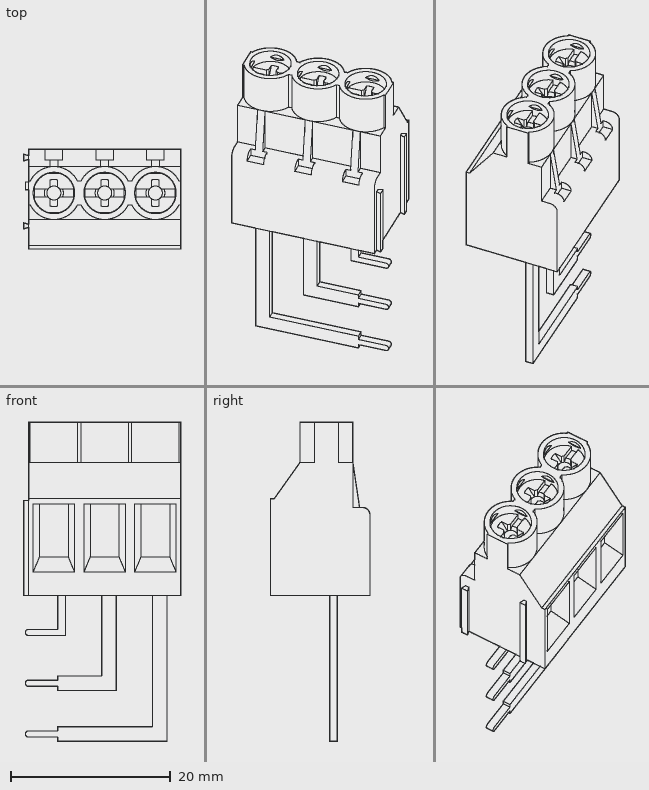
import cadquery as cq

POLES = 3
PITCH = 6.35
BODY_LENGTH = POLES * PITCH

BODY_DEPTH = 12.5
TOTAL_TOP = 21.7
COLLAR_BASE = 16.68
FRONT_EDGE_TOP = 12.13
FRONT_LIP = 0.48
REAR_SHELF_TOP = 11.05
REAR_SHELF_RADIUS = 1.0

SCREW_Y = 7.02
COLLAR_RADIUS = 3.3
COLLAR_LINK_WIDTH = 2.95
COLLAR_FRONT = SCREW_Y - COLLAR_RADIUS
COLLAR_REAR = SCREW_Y + COLLAR_RADIUS

BORE_DIAMETER = 5.2
HEAD_DIAMETER = 5.1
HEAD_SINK = 1.55
HEAD_HEIGHT = 2.4
HEAD_TOP = TOTAL_TOP - HEAD_SINK
HEAD_BOTTOM = HEAD_TOP - HEAD_HEIGHT
SLOT_WIDTH = 0.95
SLOT_DEPTH = 0.8
CROSS_DEPTH = 1.28
CROSS_TOP_LENGTH = 3.4
CROSS_BOTTOM_LENGTH = 1.75
CROSS_CONE_HEIGHT = 0.6

CATCH_HEIGHT = 0.8
CATCH_REACH = 0.15
CATCH_SINK = 0.9
CATCH_LENGTH = 2.4
CATCHES = 4

FUNNEL_WIDTH = 5.2
FUNNEL_BACK_WIDTH = 3.6
FUNNEL_TOP = 11.5
FUNNEL_BOTTOM = 2.95
FUNNEL_BACK_BOTTOM = 4.85
FUNNEL_DEPTH = 2.2

RIB_WIDTH = 1.0
RIB_FOOT_Y = 11.17
NOTCH_WIDTH = 2.2
NOTCH_DEPTH = 1.0

RAIL_HEIGHT = 0.6
RAIL_TAPER = 0.2
RAILS = [(2.9, 0.8, 11.95), (11.45, 0.88, 9.0)]

PIN_THICKNESS = 1.0
PIN_Y = 7.9
PIN_WIDTH = 1.85
FIRST_PIN_WIDTH = 1.0
PIN_RIGHT_OFFSET = 4.63
TIP_START_X = PIN_RIGHT_OFFSET - FIRST_PIN_WIDTH
TIP_END_X = -0.4
TIP_WIDTH = 0.8
FIRST_TIP_Z = -4.6


def pole_x(pole):
    return (pole + 0.5) * PITCH


def block(x_min, x_max, y_min, y_max, z_min, z_max):
    size = (x_max - x_min, y_max - y_min, z_max - z_min)
    return cq.Workplane("XY").box(*size, centered=False).translate((x_min, y_min, z_min))


def disc(x, diameter, z_min, z_max):
    """Upright cylinder on a screw axis."""
    plane = cq.Workplane("XY").workplane(offset=z_min)
    return plane.center(x, SCREW_Y).circle(diameter / 2).extrude(z_max - z_min)


def turned(x, points):
    """Solid of revolution about a screw axis from a radius-Z outline."""
    plane = cq.Workplane("XZ", origin=(x, SCREW_Y, 0))
    return plane.polyline(points).close().revolve(360, (0, 0), (0, 1))


def yz_prism(points, x_middle, width):
    """Prism along X with a Y-Z outline, centred on x_middle."""
    plane = cq.Workplane("YZ").workplane(offset=x_middle)
    return plane.polyline(points).close().extrude(width / 2, both=True)


def make_shell():
    profile = (
        cq.Workplane("YZ")
        .moveTo(0, 0)
        .lineTo(0, FRONT_EDGE_TOP)
        .lineTo(FRONT_LIP, FRONT_EDGE_TOP)
        .lineTo(COLLAR_FRONT, COLLAR_BASE)
        .lineTo(COLLAR_REAR, COLLAR_BASE)
        .lineTo(COLLAR_REAR, REAR_SHELF_TOP)
        .lineTo(BODY_DEPTH - REAR_SHELF_RADIUS, REAR_SHELF_TOP)
        .radiusArc((BODY_DEPTH, REAR_SHELF_TOP - REAR_SHELF_RADIUS), REAR_SHELF_RADIUS)
        .lineTo(BODY_DEPTH, 0)
        .close()
    )
    return profile.extrude(BODY_LENGTH)


def make_collars():
    """Round collars joined by a straight bar and trimmed flush with the housing ends."""
    half_link = COLLAR_LINK_WIDTH / 2
    collars = block(0, BODY_LENGTH, SCREW_Y - half_link, SCREW_Y + half_link, COLLAR_BASE, TOTAL_TOP)
    for pole in range(POLES):
        collars = collars.union(disc(pole_x(pole), 2 * COLLAR_RADIUS, COLLAR_BASE, TOTAL_TOP))
    trim = block(0, BODY_LENGTH, 0, BODY_DEPTH, COLLAR_BASE, TOTAL_TOP)
    return collars.intersect(trim)


def make_rear_rib(x):
    outline = [
        (COLLAR_REAR, REAR_SHELF_TOP),
        (RIB_FOOT_Y, REAR_SHELF_TOP),
        (COLLAR_REAR, COLLAR_BASE),
    ]
    return yz_prism(outline, x, RIB_WIDTH)


def make_rear_notch(x):
    half_width = NOTCH_WIDTH / 2
    floor = REAR_SHELF_TOP - NOTCH_DEPTH
    return block(x - half_width, x + half_width, RIB_FOOT_Y, BODY_DEPTH, floor, REAR_SHELF_TOP)


def make_funnel(x):
    """Wire entry with a level roof, narrowing inward at both sides and the floor."""
    height_outline = [
        (0, FUNNEL_BOTTOM),
        (FUNNEL_DEPTH, FUNNEL_BACK_BOTTOM),
        (FUNNEL_DEPTH, FUNNEL_TOP),
        (0, FUNNEL_TOP),
    ]
    width_outline = [
        (x - FUNNEL_WIDTH / 2, 0),
        (x + FUNNEL_WIDTH / 2, 0),
        (x + FUNNEL_BACK_WIDTH / 2, FUNNEL_DEPTH),
        (x - FUNNEL_BACK_WIDTH / 2, FUNNEL_DEPTH),
    ]
    width_prism = cq.Workplane("XY").polyline(width_outline).close().extrude(FUNNEL_TOP)
    return yz_prism(height_outline, x, FUNNEL_WIDTH).intersect(width_prism)


def make_catches(x):
    """Ridged bars on the bore wall, one in each quarter."""
    wall = SCREW_Y + BORE_DIAMETER / 2
    middle = TOTAL_TOP - CATCH_SINK
    ridge = [
        (wall, middle - CATCH_HEIGHT / 2),
        (wall - CATCH_REACH, middle),
        (wall, middle + CATCH_HEIGHT / 2),
    ]
    bore = disc(x, BORE_DIAMETER, HEAD_TOP, TOTAL_TOP)
    bar = yz_prism(ridge, x, CATCH_LENGTH).intersect(bore)
    turn = 360 / CATCHES
    axis = ((x, SCREW_Y, 0), (x, SCREW_Y, 1))
    return [bar.rotate(*axis, turn * quarter) for quarter in range(CATCHES)]


def make_rail(middle_y, tip_width, top):
    """Upright dovetail rail, wider at its tip than at its root."""
    half_tip = tip_width / 2
    half_root = half_tip - RAIL_TAPER
    outline = [
        (0, middle_y - half_root),
        (-RAIL_HEIGHT, middle_y - half_tip),
        (-RAIL_HEIGHT, middle_y + half_tip),
        (0, middle_y + half_root),
    ]
    return cq.Workplane("XY").polyline(outline).close().extrude(top)


def make_housing(contacts):
    housing = make_shell().union(make_collars())
    for rail in RAILS:
        housing = housing.union(make_rail(*rail))
    for pole in range(POLES):
        x = pole_x(pole)
        bore = disc(x, BORE_DIAMETER, HEAD_BOTTOM, TOTAL_TOP)
        for catch in make_catches(x):
            bore = bore.cut(catch)
        housing = housing.union(make_rear_rib(x))
        housing = housing.cut(make_rear_notch(x))
        housing = housing.cut(make_funnel(x))
        housing = housing.cut(bore)
    for contact in contacts:
        housing = housing.cut(contact)
    return housing


def make_drive_recess(x):
    """Straight slot combined with a tapered cross and a pointed centre."""
    slot = block(
        x - HEAD_DIAMETER / 2, x + HEAD_DIAMETER / 2,
        SCREW_Y - SLOT_WIDTH / 2, SCREW_Y + SLOT_WIDTH / 2,
        HEAD_TOP - SLOT_DEPTH, HEAD_TOP,
    )
    cross_floor = HEAD_TOP - CROSS_DEPTH
    half_top = CROSS_TOP_LENGTH / 2
    half_width = SLOT_WIDTH / 2
    arm = block(
        x - half_width, x + half_width,
        SCREW_Y - half_top, SCREW_Y + half_top,
        cross_floor, HEAD_TOP,
    )
    cross = arm.union(arm.rotate((x, SCREW_Y, 0), (x, SCREW_Y, 1), 90))
    centre_radius = CROSS_BOTTOM_LENGTH / 2
    taper_outline = [
        (0, cross_floor),
        (centre_radius, cross_floor),
        (half_top, HEAD_TOP),
        (0, HEAD_TOP),
    ]
    centre_tip = cross_floor - CROSS_CONE_HEIGHT
    centre_outline = [
        (0, centre_tip),
        (centre_radius, cross_floor),
        (centre_radius, HEAD_TOP),
        (0, HEAD_TOP),
    ]
    cross = cross.intersect(turned(x, taper_outline))
    return slot.union(cross).union(turned(x, centre_outline))


def make_pin_tip(tip_z):
    """Narrow end of a pin with a fully rounded point."""
    radius = TIP_WIDTH / 2
    round_start = TIP_END_X + radius
    outline = (
        cq.Workplane("XZ", origin=(0, PIN_Y, tip_z))
        .moveTo(TIP_START_X, radius)
        .lineTo(round_start, radius)
        .threePointArc((TIP_END_X, 0), (round_start, -radius))
        .lineTo(TIP_START_X, -radius)
        .close()
    )
    return outline.extrude(PIN_THICKNESS / 2, both=True)


def make_pin(pole):
    """Flat strip that drops from the screw head and turns toward -X to end in a narrow tip."""
    width = PIN_WIDTH if pole > 0 else FIRST_PIN_WIDTH
    foot_width = PIN_WIDTH if pole > 0 else TIP_WIDTH
    right = PIN_RIGHT_OFFSET + pole * PITCH
    tip_z = FIRST_TIP_Z - pole * PITCH
    y_range = (PIN_Y - PIN_THICKNESS / 2, PIN_Y + PIN_THICKNESS / 2)
    foot_range = (tip_z - foot_width / 2, tip_z + foot_width / 2)
    leg = block(right - width, right, *y_range, foot_range[0], HEAD_BOTTOM)
    foot = block(TIP_START_X, right, *y_range, *foot_range)
    return leg.union(foot).union(make_pin_tip(tip_z))


def make_contact(pole):
    """Screw head and solder pin of one pole as a single metal part."""
    x = pole_x(pole)
    head = disc(x, HEAD_DIAMETER, HEAD_BOTTOM, HEAD_TOP).cut(make_drive_recess(x))
    return head.union(make_pin(pole))


contacts = [make_contact(pole) for pole in range(POLES)]
housing = make_housing(contacts)

result = cq.Compound.makeCompound([housing.val(), *[contact.val() for contact in contacts]])